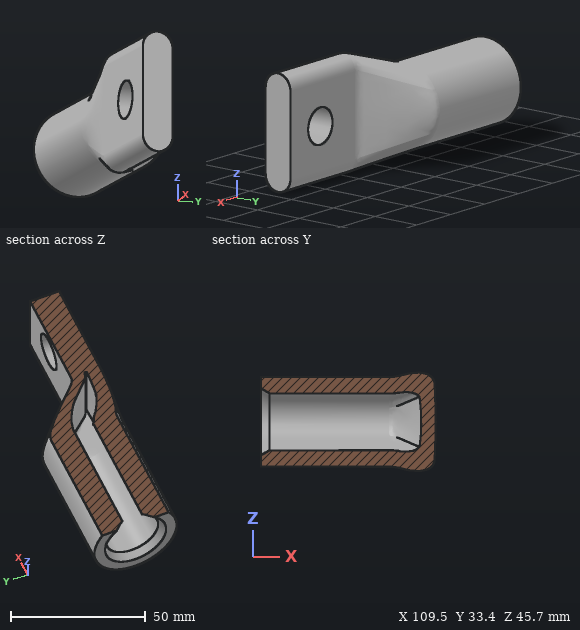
import cadquery as cq
import math

TOTAL_LENGTH = 109.5
BARREL_LENGTH = 47.6
BARREL_DIAMETER = 33.4
PALM_LENGTH = 38.2
PALM_WIDTH = 45.7
PALM_THICKNESS = 11.9

BORE_DIAMETER = 21.0
BORE_MOUTH_DIAMETER = 24.8
BORE_MOUTH_DEPTH = 3.2
BOLT_HOLE_DIAMETER = 14.3
BOLT_HOLE_FROM_END = 17.6

CORNER_ANGLE = 30.0
EASE_FRACTION = 0.15
STATIONS = (0.0, 0.07, 0.15, 0.3, 0.5, 0.7, 0.85, 0.93, 1.0)

SLIT_WIDTH = 28.5
SLIT_THICKNESS = 0.7

FLAT_TOLERANCE = 0.001

BARREL_RADIUS = BARREL_DIAMETER / 2
PALM_START = TOTAL_LENGTH - PALM_LENGTH
TRANSITION_LENGTH = PALM_START - BARREL_LENGTH
PALM_CENTER_Y = PALM_THICKNESS / 2 - BARREL_RADIUS


def ease(t):
    """Straight ramp from 0 to 1 with a short parabolic bend at each end."""
    if t > 0.5:
        return 1 - ease(1 - t)
    slope = 1 / (1 - EASE_FRACTION)
    if t < EASE_FRACTION:
        return slope * t ** 2 / (2 * EASE_FRACTION)
    return slope * (t - EASE_FRACTION / 2)


def circle_points(radius):
    """Eight (y, z) points: the corners and middles of four arcs."""
    half_turn = [CORNER_ANGLE, 90, 180 - CORNER_ANGLE, 180]
    angles = half_turn + [angle + 180 for angle in half_turn]
    return [
        (radius * math.cos(math.radians(a)), radius * math.sin(math.radians(a)))
        for a in angles
    ]


def slot_points(width, thickness):
    """Matching eight (y, z) points of a slot with fully round ends."""
    end_radius = thickness / 2
    flat = width / 2 - end_radius
    front = PALM_CENTER_Y + end_radius
    back = PALM_CENTER_Y - end_radius
    return [
        (front, flat), (PALM_CENTER_Y, width / 2), (back, flat), (back, 0),
        (back, -flat), (PALM_CENTER_Y, -width / 2), (front, -flat), (front, 0),
    ]


def section_wire(x, points):
    """Closed wire of two round ends joined by two arcs, or by lines where flat."""
    corners = [cq.Vector(x, y, z) for y, z in points]
    edges = []
    for i in range(0, len(corners), 2):
        start = corners[i]
        middle = corners[i + 1]
        end = corners[(i + 2) % len(corners)]
        bulge = (middle - (start + end) * 0.5).Length
        if bulge < FLAT_TOLERANCE:
            edges.append(cq.Edge.makeLine(start, end))
        else:
            edges.append(cq.Edge.makeThreePointArc(start, middle, end))
    return cq.Wire.assembleEdges(edges)


def transition(radius, width, thickness):
    """Smooth loft from a circle to a slot across the transition."""
    wires = []
    for t in STATIONS:
        blend = ease(t)
        points = [
            (y0 + (y1 - y0) * blend, z0 + (z1 - z0) * blend)
            for (y0, z0), (y1, z1) in zip(circle_points(radius), slot_points(width, thickness))
        ]
        wires.append(section_wire(BARREL_LENGTH + TRANSITION_LENGTH * t, points))
    return cq.Workplane(cq.Solid.makeLoft(wires))


def x_cylinder(radius, length):
    return cq.Workplane("YZ").circle(radius).extrude(length)


def palm():
    outline = section_wire(PALM_START, slot_points(PALM_WIDTH, PALM_THICKNESS))
    return cq.Workplane(cq.Solid.extrudeLinear(outline, [], cq.Vector(PALM_LENGTH, 0, 0)))


def bolt_hole():
    return (
        cq.Workplane("XZ")
        .center(TOTAL_LENGTH - BOLT_HOLE_FROM_END, 0)
        .circle(BOLT_HOLE_DIAMETER / 2)
        .extrude(BARREL_DIAMETER, both=True)
    )


def bore_mouth():
    """Cone that chamfers the open end of the bore."""
    return cq.Workplane(
        cq.Solid.makeCone(
            BORE_MOUTH_DIAMETER / 2, BORE_DIAMETER / 2, BORE_MOUTH_DEPTH,
            pnt=cq.Vector(0, 0, 0), dir=cq.Vector(1, 0, 0),
        )
    )


body = (
    x_cylinder(BARREL_RADIUS, BARREL_LENGTH)
    .union(transition(BARREL_RADIUS, PALM_WIDTH, PALM_THICKNESS))
    .union(palm())
)
cavity = (
    x_cylinder(BORE_DIAMETER / 2, BARREL_LENGTH)
    .union(transition(BORE_DIAMETER / 2, SLIT_WIDTH, SLIT_THICKNESS))
)
result = body.cut(cavity).cut(bore_mouth()).cut(bolt_hole())